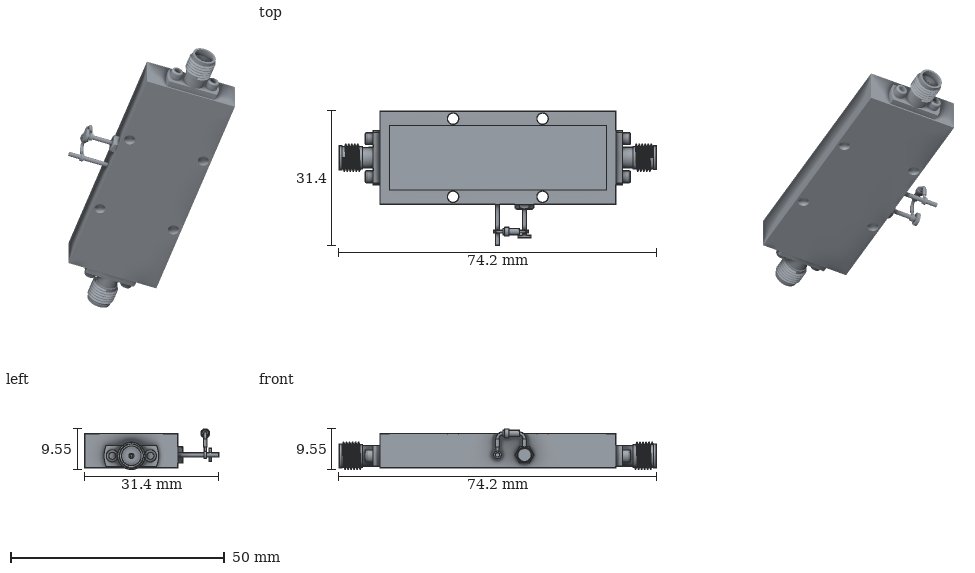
import cadquery as cq
import math

length = 74.2
body_length = 55.2
body_width = 21.8
body_height = 8.0
half_body = body_length / 2
front_y = -body_width / 2

hole_spacing_x = 20.9
hole_spacing_y = 18.25
hole_diameter = 2.6

label_length = 50.7
label_width = 15.0
label_thickness = 0.1

connector_z = 2.8
flange_thickness = 1.55
flange_height = 4.9
flange_end_radius = 6.4
neck_radius = 2.45
nose_length = 0.7
nose_radius = 2.8
collar_length = 0.2
thread_major_radius = 3.2
thread_root_radius = 2.7
thread_crest_width = 0.1
thread_base_width = 0.6
thread_overlap = 0.15
thread_pitch = 0.705
thread_turns = 5.5
socket_radius = 2.3
socket_depth = 1.6
contact_radius = 0.6
contact_length = 0.2
contact_hole_radius = 0.3
connector_tip = length / 2
flange_face = half_body + flange_thickness
thread_length = (thread_turns + 1) * thread_pitch
thread_start = connector_tip - nose_length - thread_length

screw_offset = 4.45
screw_head_radius = 1.4
screw_head_height = 1.85
screw_head_fillet = 0.4
screw_socket_radius = 0.8
screw_socket_depth = 0.9

terminal_z = 3.05
pin_x = -0.1
pin_radius = 0.5
pin_length = 9.6
post_x = 6.2
post_radius = 0.5
post_head_radius = 1.55
post_head_thickness = 0.7
post_length = 7.85
nut_across_flats = 3.85
nut_thickness = 1.2
nut_chamfer = 0.45

diode_offset = 6.4
diode_y = front_y - diode_offset
diode_z = 8.1
loop_radius = 0.9
loop_width = 0.7
lead_radius = 0.3
bend_tube_radius = 0.4
sleeve_radius = 0.45
sleeve_bottom_z = 4.9
bend_radius = 1.3
diode_start_x = 1.2
band_start_x = 1.55
band_length = 1.1
band_radius = 1.05
band_fillet = 0.15
diode_radius = 0.75
diode_end_x = 5.05


def rod_x(x_start, x_end, radius, y, z):
    """Solid cylinder along +X."""
    return cq.Workplane("YZ", origin=(x_start, y, z)).circle(radius).extrude(x_end - x_start)


def rod_front(x, y_start, radius, rod_length):
    """Solid cylinder along -Y at terminal height."""
    return cq.Workplane("XZ", origin=(x, y_start, terminal_z)).circle(radius).extrude(rod_length)


def make_housing():
    housing = cq.Workplane("XY").box(body_length, body_width, body_height, centered=(True, True, False))
    label = (
        cq.Workplane("XY", origin=(0, 0, body_height))
        .rect(label_length, label_width)
        .extrude(label_thickness)
    )
    return (
        housing.union(label)
        .faces("<Z").workplane()
        .rect(hole_spacing_x, hole_spacing_y, forConstruction=True)
        .vertices()
        .hole(hole_diameter)
    )


def make_flange():
    """Flange with flat long sides and round ends."""
    disc = rod_x(half_body, flange_face, flange_end_radius, 0, connector_z)
    bar = cq.Workplane("XY", origin=(half_body, 0, connector_z)).box(
        flange_thickness, 2 * flange_end_radius, flange_height, centered=(False, True, True)
    )
    return disc.intersect(bar)


def make_thread():
    """Right-hand helical ridge that overlaps the thread core a little."""
    helix = cq.Wire.makeHelix(thread_pitch, thread_turns * thread_pitch, thread_root_radius)
    base_radius = thread_root_radius - thread_overlap
    ridge_section = cq.Workplane("XZ").polyline([
        (base_radius, -thread_base_width / 2),
        (thread_major_radius, -thread_crest_width / 2),
        (thread_major_radius, thread_crest_width / 2),
        (base_radius, thread_base_width / 2),
    ]).close()
    ridge = ridge_section.sweep(cq.Workplane(obj=helix), isFrenet=True)
    first_crest_x = thread_start + thread_pitch / 2
    return ridge.rotate((0, 0, 0), (0, 1, 0), 90).translate((first_crest_x, 0, connector_z))


def make_barrel():
    """Neck, thread core and nose turned about the connector axis, with thread and contact socket."""
    outline = [(flange_face, 0), (flange_face, neck_radius)]
    outline += [(thread_start - collar_length, neck_radius)]
    outline += [(thread_start - collar_length, thread_root_radius)]
    nose_start = connector_tip - nose_length
    outline += [(nose_start, thread_root_radius), (nose_start, nose_radius)]
    outline += [(connector_tip, nose_radius), (connector_tip, 0)]
    barrel = (
        cq.Workplane("XY", origin=(0, 0, connector_z))
        .polyline(outline).close()
        .revolve(360, (0, 0, 0), (1, 0, 0))
    )
    socket_floor = connector_tip - socket_depth
    socket = rod_x(socket_floor, connector_tip, socket_radius, 0, connector_z)
    contact = rod_x(socket_floor, socket_floor + contact_length, contact_radius, 0, connector_z)
    contact_hole = rod_x(socket_floor, connector_tip, contact_hole_radius, 0, connector_z)
    return barrel.union(make_thread()).cut(socket).union(contact).cut(contact_hole)


def make_flange_screw(y):
    head_top = flange_face + screw_head_height
    head = rod_x(flange_face, head_top, screw_head_radius, y, connector_z)
    head = head.faces(">X").edges().fillet(screw_head_fillet)
    socket = rod_x(head_top - screw_socket_depth, head_top, screw_socket_radius, y, connector_z)
    return head.cut(socket)


def make_connector():
    """Connector on the +X end."""
    connector = make_flange().union(make_barrel())
    for y in (-screw_offset, screw_offset):
        connector = connector.union(make_flange_screw(y))
    return connector


def make_nut():
    """Hexagon nut with chamfered outer corners, points along X."""
    corner_diameter = nut_across_flats / math.cos(math.pi / 6)
    nut_plane = cq.Workplane("XZ", origin=(post_x, front_y, terminal_z))
    nut = nut_plane.polygon(6, corner_diameter).extrude(nut_thickness)
    envelope = (
        nut_plane.circle(corner_diameter / 2).extrude(nut_thickness)
        .faces("<Y").edges().chamfer(nut_chamfer)
    )
    return nut.intersect(envelope)


def make_terminals():
    pin = rod_front(pin_x, front_y, pin_radius, pin_length)
    post = rod_front(post_x, front_y, post_radius, post_length)
    head_y = front_y - post_length + post_head_thickness
    post_head = rod_front(post_x, head_y, post_head_radius, post_head_thickness)
    return pin.union(post).union(post_head).union(make_nut())


def make_lead(x, inward):
    """Loop round a terminal, leg rising from it and bend towards the diode (inward is +1 or -1)."""
    loop = rod_front(x, diode_y + loop_width / 2, loop_radius, loop_width)
    sleeve_top_z = diode_z - bend_radius
    leg_plane = cq.Workplane("XY", origin=(x, diode_y, terminal_z))
    leg = leg_plane.circle(lead_radius).extrude(sleeve_top_z - terminal_z)
    sleeve_plane = cq.Workplane("XY", origin=(x, diode_y, sleeve_bottom_z))
    sleeve = sleeve_plane.circle(sleeve_radius).extrude(sleeve_top_z - sleeve_bottom_z)
    bend_plane = cq.Workplane("XY", origin=(x, diode_y, sleeve_top_z))
    bend = bend_plane.circle(bend_tube_radius).revolve(
        90, (inward * bend_radius, 0, 0), (inward * bend_radius, inward, 0)
    )
    return loop.union(leg).union(sleeve).union(bend)


def make_diode():
    body = rod_x(diode_start_x, diode_end_x, diode_radius, diode_y, diode_z)
    band = rod_x(band_start_x, band_start_x + band_length, band_radius, diode_y, diode_z)
    band = band.edges().fillet(band_fillet)
    return body.union(band).union(make_lead(pin_x, 1)).union(make_lead(post_x, -1))


connector = make_connector()
result = (
    make_housing()
    .union(connector)
    .union(connector.rotate((0, 0, 0), (0, 0, 1), 180))
    .union(make_terminals())
    .union(make_diode())
    .solids()
)